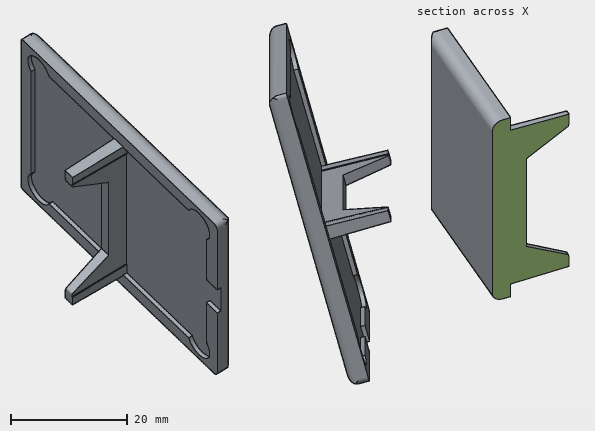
import cadquery as cq
import math

plate_length = 54.0
plate_height = 40.1
plate_thickness = 3.5
back_round = 2.0
corner_radius = 1.0
end_trim = 0.2
center_x = -end_trim / 2

rim_width = 3.0
recess_length = plate_length + end_trim - 2 * rim_width
recess_height = plate_height - 2 * rim_width
recess_depth = 0.8
relief_radius = 3.0
relief_x = 22.0
relief_z = 15.9
notch_width = 6.2

bracket_reach = 11.0
rib_reach = 3.0
opening_half_height = 9.75
slope_angle = 30.0
draft_angle = 1.0
web_tip_thickness = 1.7
tip_round = 0.5
post_tip_size = 2.05
post_outer_z = recess_height / 2
post_center_z = post_outer_z - post_tip_size / 2

post_height = bracket_reach + recess_depth
draft_growth = post_height * math.tan(math.radians(draft_angle))


def rounded_slab(width, length):
    """Slab running along Z whose two back edges are rounded."""
    slab = cq.Workplane("XY").box(width, plate_thickness, length)
    slab = slab.edges(">Y and |Z").fillet(back_round)
    return slab.translate((0, plate_thickness / 2, 0))


def make_plate():
    """Plate with mitred back rounding; the +X corners keep their full radius."""
    outline = (
        cq.Workplane("XY")
        .box(plate_length + end_trim, plate_thickness, plate_height)
        .edges("|Y")
        .fillet(corner_radius)
        .translate((center_x, plate_thickness / 2, 0))
    )
    end_rounds = rounded_slab(plate_length, plate_height)
    side_rounds = rounded_slab(plate_height, plate_length).rotate((0, 0, 0), (0, 1, 0), 90)
    return outline.intersect(end_rounds).intersect(side_rounds)


def make_recess():
    """Shallow pocket with round corner reliefs and a notch open at +X."""
    recess = (
        cq.Workplane("XZ", origin=(center_x, 0, 0))
        .rect(recess_length, recess_height)
        .extrude(-recess_depth)
    )
    reliefs = (
        cq.Workplane("XZ", origin=(center_x, 0, 0))
        .rect(2 * relief_x, 2 * relief_z, forConstruction=True)
        .vertices()
        .circle(relief_radius)
        .extrude(-recess_depth)
    )
    notch = (
        cq.Workplane("XZ")
        .center(plate_length / 4, 0)
        .rect(plate_length / 2, notch_width)
        .extrude(-recess_depth)
    )
    return recess.union(reliefs).union(notch)


def make_post(side):
    """Square tapered post at one end of the bracket in Z (side is +1 or -1)."""
    base_size = post_tip_size + 2 * draft_growth
    return (
        cq.Workplane("XZ", origin=(center_x, recess_depth, side * post_center_z))
        .rect(base_size, base_size)
        .extrude(post_height, taper=draft_angle)
    )


def make_web():
    """Rib and sloped gussets joining the posts, thinning toward the tips."""
    slope_rise = (bracket_reach - rib_reach) * math.tan(math.radians(slope_angle))
    tip_half_opening = opening_half_height + slope_rise
    profile = (
        cq.Workplane("YZ", origin=(center_x, 0, 0))
        .moveTo(recess_depth, -post_center_z)
        .lineTo(-bracket_reach, -post_center_z)
        .lineTo(-bracket_reach, -tip_half_opening)
        .lineTo(-rib_reach, -opening_half_height)
        .lineTo(-rib_reach, opening_half_height)
        .lineTo(-bracket_reach, tip_half_opening)
        .lineTo(-bracket_reach, post_center_z)
        .lineTo(recess_depth, post_center_z)
        .close()
        .extrude(post_tip_size, both=True)
    )
    for side in (-1, 1):
        tip_corner = cq.selectors.NearestToPointSelector((center_x, -bracket_reach, side * tip_half_opening))
        profile = profile.edges("|X").edges(tip_corner).fillet(tip_round)

    tip_half = web_tip_thickness / 2
    base_half = tip_half + draft_growth
    drafted_sides = (
        cq.Workplane("XY", origin=(center_x, 0, 0))
        .moveTo(-base_half, recess_depth)
        .lineTo(base_half, recess_depth)
        .lineTo(tip_half, -bracket_reach)
        .lineTo(-tip_half, -bracket_reach)
        .close()
        .extrude(post_outer_z, both=True)
    )
    return profile.intersect(drafted_sides)


result = make_plate().cut(make_recess()).union(make_web())
for end in (-1, 1):
    result = result.union(make_post(end))